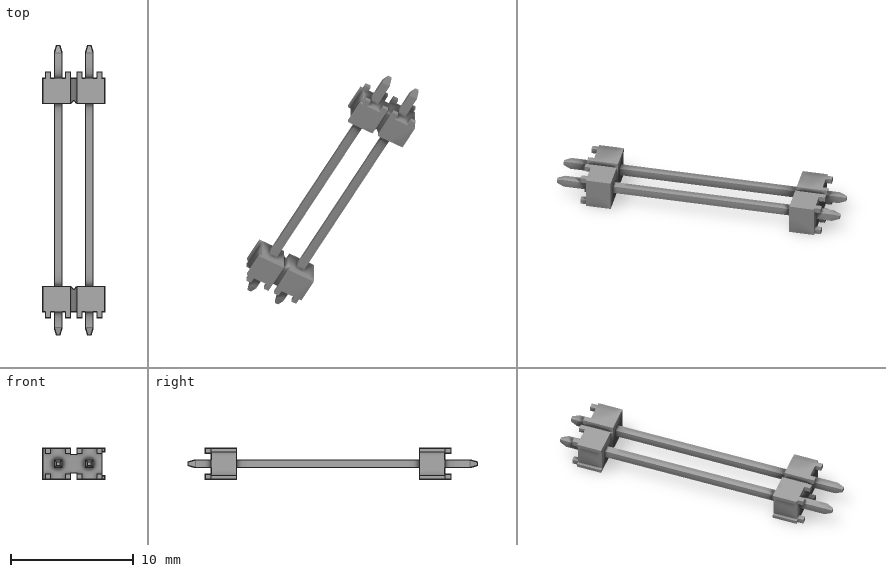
import cadquery as cq

pitch = 2.54
ways = 2
total_length = 23.62

body_width = ways * pitch
body_height = pitch
body_depth = 2.08
notch_width = 0.52
notch_depth = 0.5
v_depth = notch_width / 2
end_recess_depth = 0.23
end_lip_height = 0.31

foot_width = 0.43
foot_height = 0.43
foot_length = 0.5
foot_margin = 0.22

pin_size = 0.64
tip_size = 0.3
tip_length = 0.6
front_projection = 1.89
rear_projection = 2.66

front_end = -total_length / 2
rear_end = total_length / 2
front_face = front_end + front_projection
rear_face = rear_end - rear_projection


def box(size_x, size_y, size_z, x, y, z):
    return cq.Workplane("XY").box(size_x, size_y, size_z).translate((x, y, z))


def way_centres():
    return [(way - (ways - 1) / 2) * pitch for way in range(ways)]


def make_feet(outer_face, outward):
    """Feet at the corners of the outer face of a body, between its notches and ends."""
    end_foot_x = body_width / 2 - foot_margin - foot_width / 2
    inner_foot_x = (notch_width + foot_width) / 2
    foot_z = (body_height - foot_height) / 2
    foot_y = outer_face + outward * foot_length / 2
    feet = []
    for x in (-end_foot_x, -inner_foot_x, inner_foot_x, end_foot_x):
        for z in (-foot_z, foot_z):
            feet.append(box(foot_width, foot_length, foot_height, x, foot_y, z))
    return feet


def make_body(outer_face, outward):
    """Insulator with its outer face at outer_face; outward is the Y direction of that face."""
    centre_y = outer_face - outward * body_depth / 2
    inner_face = outer_face - outward * body_depth
    body = box(body_width, body_depth, body_height, 0, centre_y, 0)

    notch_z = (body_height - notch_depth) / 2
    for z in (-notch_z, notch_z):
        body = body.cut(box(notch_width, body_depth, notch_depth, 0, centre_y, z))

    v_groove = (
        cq.Workplane("XY", origin=(0, 0, -body_height / 2))
        .polyline([
            (-notch_width / 2, inner_face),
            (notch_width / 2, inner_face),
            (0, inner_face + outward * v_depth),
        ])
        .close()
        .extrude(body_height)
    )
    body = body.cut(v_groove)

    recess_x = (body_width - end_recess_depth) / 2
    recess_height = body_height - 2 * end_lip_height
    body = body.cut(box(end_recess_depth, body_depth, recess_height, recess_x, centre_y, 0))

    for foot in make_feet(outer_face, outward):
        body = body.union(foot)
    return body


def make_tip(x, base_y, end_y):
    """Square taper from the full pin section at base_y to the blunt end at end_y."""
    length = end_y - base_y
    return (
        cq.Workplane("XZ", origin=(x, base_y, 0))
        .rect(pin_size, pin_size)
        .workplane(offset=-length)
        .rect(tip_size, tip_size)
        .loft(ruled=True)
    )


def make_pin(x):
    front_base = front_end + tip_length
    rear_base = rear_end - tip_length
    shank_centre = (front_base + rear_base) / 2
    pin = box(pin_size, rear_base - front_base, pin_size, x, shank_centre, 0)
    pin = pin.union(make_tip(x, front_base, front_end))
    return pin.union(make_tip(x, rear_base, rear_end))


result = make_body(front_face, -1).union(make_body(rear_face, 1))
for way_x in way_centres():
    result = result.union(make_pin(way_x))